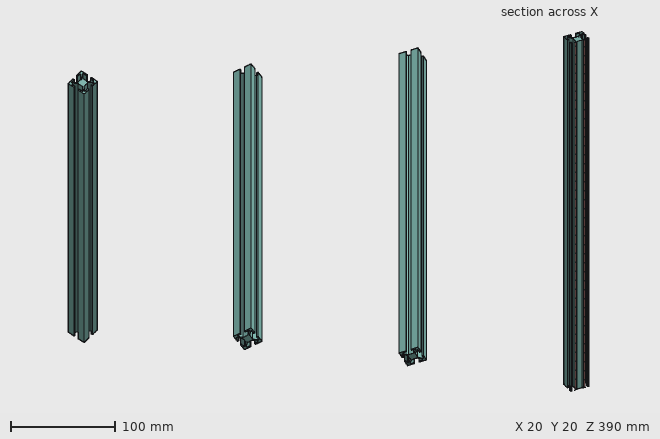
import cadquery as cq
import math

length = 390
slenderness = 19.5
side = length / slenderness
lip_thickness = 1.6
slot_opening = 5.0
core_width = 7.8
web_thickness = 1.5
corner_block = 3.5
slot_angles = (0, 90, 180, 270)

half_side = side / 2
half_core = core_width / 2
half_opening = slot_opening / 2
lip_inner = half_side - lip_thickness
block_inner = half_side - corner_block
web_offset = web_thickness / 2 * math.sqrt(2)


def slot(angle):
    """Undercut slot that enters through the -Y face, turned about Z."""
    right_half = [
        (half_opening, -half_side),
        (half_opening, -lip_inner),
        (block_inner, -lip_inner),
        (block_inner, -block_inner - web_offset),
        (half_core - web_offset, -half_core),
    ]
    left_half = [(-x, y) for x, y in reversed(right_half)]
    cutter = cq.Workplane("XY").polyline(right_half + left_half).close().extrude(length)
    return cutter.rotate((0, 0, 0), (0, 0, 1), angle)


result = cq.Workplane("XY").rect(side, side).extrude(length)
for slot_angle in slot_angles:
    result = result.cut(slot(slot_angle))